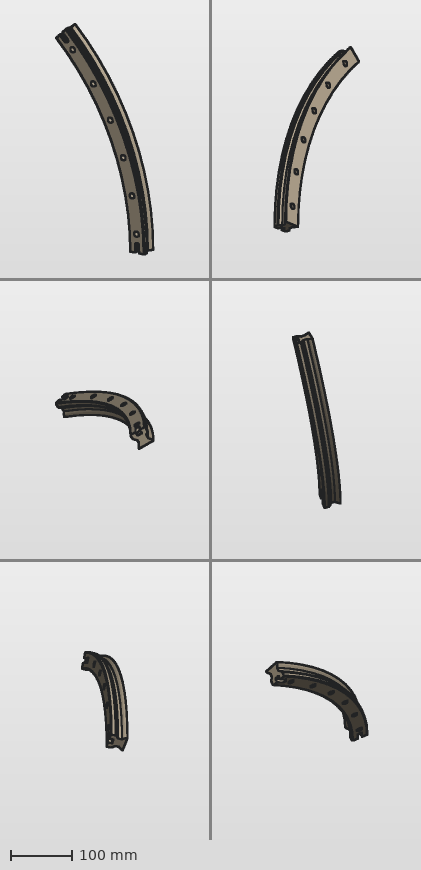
import cadquery as cq

mean_radius = 500.0
rail_width = 28.0
rail_height = 28.0
sweep_angle = 45.0

half_width = rail_width / 2
keyed_chamfer_width = 1.5
keyed_chamfer_height = 1.0
keyed_flange_height = 7.6
shoulder_height = 9.6
shoulder_inset = 1.0
waist_start = 13.6
waist_end = 20.0
waist_depth = 5.3
lip_start = 23.8
lip_inset = 1.8
lip_edge_start = 26.6
lip_edge_inset = 0.4

hole_diameter = 9.0
hole_count = 6
hole_pitch_angle = sweep_angle / hole_count

slot_width = 8.0
slot_length = 17.5
slot_depth = 7.0


def rail_segment():
    """Revolve the waisted rail section about the Y axis."""
    outer_side = [
        (half_width - keyed_chamfer_width, 0),
        (half_width, keyed_chamfer_height),
        (half_width, keyed_flange_height),
        (half_width - shoulder_inset, shoulder_height),
        (half_width - waist_depth, waist_start),
        (half_width - waist_depth, waist_end),
        (half_width - lip_inset, lip_start),
        (half_width - lip_edge_inset, lip_edge_start),
        (half_width, rail_height),
    ]
    inner_side = [(-offset, height) for offset, height in reversed(outer_side)]
    section = [(mean_radius + offset, height) for offset, height in outer_side + inner_side]
    return cq.Workplane("XY").polyline(section).close().revolve(sweep_angle, (0, 0, 0), (0, -1, 0))


def turned(body, angle):
    """Turn a body about the Y axis, from +X toward +Z."""
    return body.rotate((0, 0, 0), (0, 1, 0), -angle)


def bolt_hole(angle):
    hole = (
        cq.Workplane("XZ", origin=(mean_radius, 0, 0))
        .circle(hole_diameter / 2)
        .extrude(-rail_height)
    )
    return turned(hole, angle)


def key_slot():
    """Key slot running in from the end face that lies on Z = 0."""
    slot_radius = slot_width / 2
    straight_length = slot_length - slot_radius
    return (
        cq.Workplane("XZ", origin=(mean_radius, 0, 0))
        .moveTo(-slot_radius, 0)
        .lineTo(-slot_radius, straight_length)
        .threePointArc((0, slot_length), (slot_radius, straight_length))
        .lineTo(slot_radius, 0)
        .close()
        .extrude(-slot_depth)
    )


result = rail_segment()
for index in range(hole_count):
    result = result.cut(bolt_hole((index + 0.5) * hole_pitch_angle))

start_slot = key_slot()
end_slot = turned(start_slot.mirror("XY"), sweep_angle)
result = result.cut(start_slot).cut(end_slot)